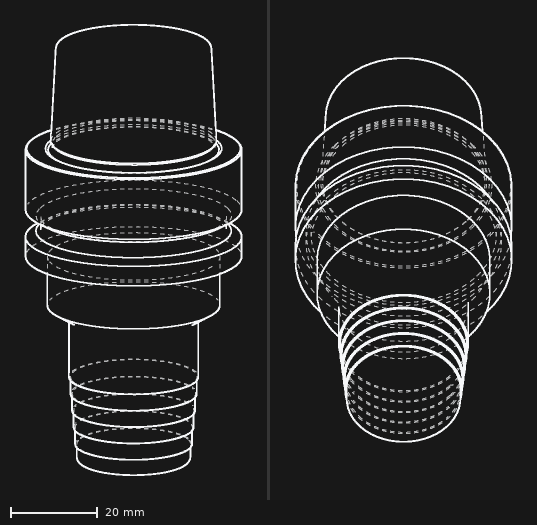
import cadquery as cq
import math

total_height = 99.9

nose_radius = 13.2
nose_edge_radius = 1.0
nose_band_count = 5
nose_height = 20.2
nose_band_height = nose_height / nose_band_count

body_radius = 15.0
nose_band_step = (body_radius - nose_radius) / nose_band_count
shoulder_radius = 20.0
shoulder_cone_base = 34.4
shoulder_cone_top = 37.4
shoulder_fillet = 1.5

flange_diameter = 50.0
flange_radius = flange_diameter / 2
flange_base = 49.2
flange_top = 75.0
flange_chamfer = 0.3
groove_bottom = 53.8
groove_top = 60.3
groove_floor_radius = 21.5
groove_wall_angle = 30.0
groove_wall_rise = 1.4
groove_fillet = 0.4
groove_slot_radius = flange_radius - groove_wall_rise / math.tan(math.radians(groove_wall_angle))
groove_slot_bottom = groove_bottom + groove_wall_rise
groove_slot_top = groove_top - groove_wall_rise

relief_outer_radius = 20.4
relief_floor_radius = 19.8
relief_depth = 0.3
relief_fillet = 0.7

neck_radius = 18.8
neck_top = 76.4
taper_base = 76.9
taper_base_radius = 19.2
taper_top_radius = 18.0
taper_edge_radius = 1.0


def revolve_profile(points):
    """Turn (radius, height) points, closed along the axis, about Z."""
    return cq.Workplane("XZ").polyline(points).close().revolve(360, (0, 0, 0), (0, 1, 0))


def edge_at(radius, height):
    """Select the circular edge with this radius at this height."""
    tolerance = 0.01
    low_corner = (-radius - tolerance, -radius - tolerance, height - tolerance)
    high_corner = (radius + tolerance, radius + tolerance, height + tolerance)
    inner_low = (-radius + tolerance, -radius + tolerance, height - tolerance)
    inner_high = (radius - tolerance, radius - tolerance, height + tolerance)
    return (cq.selectors.BoxSelector(low_corner, high_corner, boundingbox=True)
            - cq.selectors.BoxSelector(inner_low, inner_high, boundingbox=True))


def nose_points():
    """Outline of the stepped bands, ending on the ledge under the body."""
    points = []
    for band in range(nose_band_count):
        radius = nose_radius + band * nose_band_step
        points.append((radius, band * nose_band_height))
        points.append((radius, (band + 1) * nose_band_height))
    points.append((body_radius, nose_height))
    return points


profile = [
    (0, 0),
    *nose_points(),
    (body_radius, shoulder_cone_base),
    (shoulder_radius, shoulder_cone_top),
    (shoulder_radius, flange_base),
    (flange_radius, flange_base),
    (flange_radius, groove_bottom),
    (groove_slot_radius, groove_slot_bottom),
    (groove_floor_radius, groove_slot_bottom),
    (groove_floor_radius, groove_slot_top),
    (groove_slot_radius, groove_slot_top),
    (flange_radius, groove_top),
    (flange_radius, flange_top - flange_chamfer),
    (flange_radius - flange_chamfer, flange_top),
    (relief_outer_radius, flange_top),
    (relief_floor_radius, flange_top - relief_depth),
    (neck_radius, flange_top - relief_depth),
    (neck_radius, neck_top),
    (taper_base_radius, taper_base),
    (taper_top_radius, total_height),
    (0, total_height),
]
result = revolve_profile(profile)

rounded_edges = [
    (nose_radius, 0, nose_edge_radius),
    (body_radius, shoulder_cone_base, shoulder_fillet),
    (groove_floor_radius, groove_slot_bottom, groove_fillet),
    (groove_floor_radius, groove_slot_top, groove_fillet),
    (neck_radius, flange_top - relief_depth, relief_fillet),
    (taper_top_radius, total_height, taper_edge_radius),
]
for edge_radius, edge_height, fillet_radius in rounded_edges:
    result = result.edges(edge_at(edge_radius, edge_height)).fillet(fillet_radius)